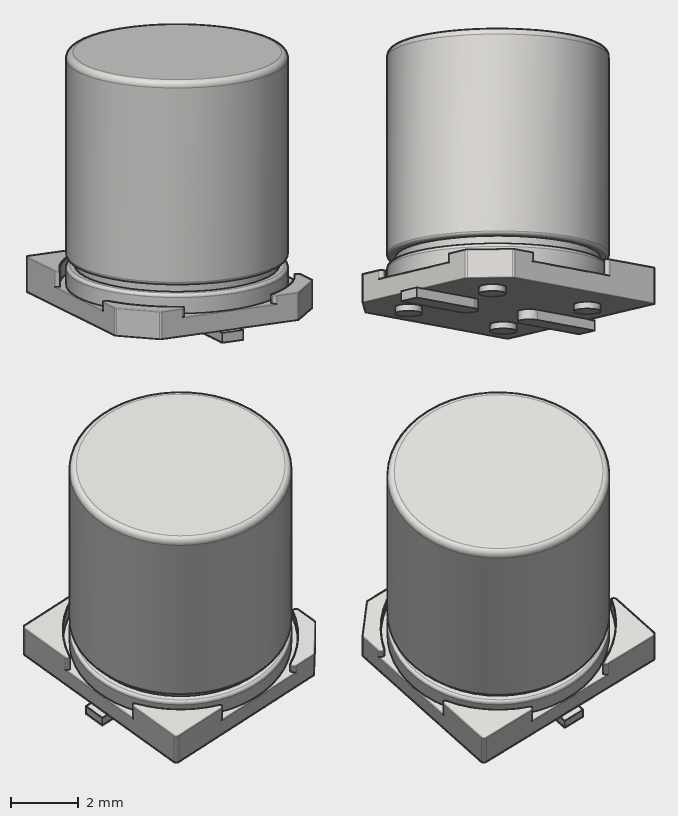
import cadquery as cq

overall_length = 7.0
terminal_width = 0.7
terminal_height = 0.3
terminal_gap = 1.78

base_side = 6.6
base_bottom = terminal_height
floor_top = 0.9
tall_wall_top = 1.39
low_wall_top = 1.17
corner_chamfer = 1.0
corner_radius = 0.1
chamfer_end_radius = 0.1
seat_radius = 3.46
tall_gap_half = 1.37
low_gap_half = 1.47
edge_radius = 0.02

foot_diameter = 0.8
foot_length = 0.2
foot_offset = 1.86

can_diameter = 6.55
groove_diameter = 6.05
overall_height = 8.0
groove_bottom = 1.5
groove_top = 1.76
groove_lip_radius = 0.1
can_top_radius = 0.2

half_base = base_side / 2


def base_prism(bottom, top):
    """Square base outline: rounded corners on the -X side, softened chamfers on the +X side."""
    prism = cq.Workplane("XY", origin=(0, 0, bottom)).rect(base_side, base_side).extrude(top - bottom)
    prism = prism.edges("|Z and >X").chamfer(corner_chamfer)
    chamfer_ends = cq.selectors.BoxSelector((0, -base_side, 0), (base_side, base_side, overall_height))
    prism = prism.edges("|Z").edges(chamfer_ends).fillet(chamfer_end_radius)
    return prism.edges("|Z and <X").fillet(corner_radius)


def corner_wall(x_side, y_side, gap_half, top):
    """Raised corner of the base, hollowed by the round seat that surrounds the can."""
    quarter_size = half_base - gap_half
    quarter_center = gap_half + quarter_size / 2
    height = top - base_bottom
    quarter = (
        cq.Workplane("XY", origin=(x_side * quarter_center, y_side * quarter_center, base_bottom))
        .rect(quarter_size, quarter_size)
        .extrude(height)
        .edges("|Z")
        .fillet(corner_radius)
    )
    seat = cq.Workplane("XY", origin=(0, 0, base_bottom)).circle(seat_radius).extrude(height)
    return quarter.cut(seat).intersect(base_prism(base_bottom, top))


def base():
    """Chamfered square base with four raised corners and softened horizontal edges."""
    body = base_prism(base_bottom, floor_top)
    corners = []
    for x_side, gap_half, wall_top in ((-1, tall_gap_half, tall_wall_top), (1, low_gap_half, low_wall_top)):
        for y_side in (-1, 1):
            wall = corner_wall(x_side, y_side, gap_half, wall_top)
            body = body.union(wall)
            corners.append((x_side * half_base, y_side * half_base, wall_top))
    body = body.faces("<Z").edges().fillet(edge_radius)
    for corner in corners:
        wall_face = cq.selectors.NearestToPointSelector(corner)
        body = body.faces("+Z").faces(wall_face).edges().fillet(edge_radius)
    floor_face = cq.selectors.NearestToPointSelector((0, 0, floor_top))
    return body.faces("+Z").faces(floor_face).edges("<X or >X or <Y or >Y").fillet(edge_radius)


def can():
    """Cylinder with a rounded top rim and a waist groove with rounded lips."""
    body = (
        cq.Workplane("XY", origin=(0, 0, base_bottom))
        .circle(can_diameter / 2)
        .extrude(groove_bottom - base_bottom)
        .faces(">Z")
        .edges()
        .fillet(groove_lip_radius)
    )
    waist = (
        cq.Workplane("XY", origin=(0, 0, base_bottom))
        .circle(groove_diameter / 2)
        .extrude(groove_top - base_bottom)
    )
    sleeve = (
        cq.Workplane("XY", origin=(0, 0, groove_top))
        .circle(can_diameter / 2)
        .extrude(overall_height - groove_top)
        .faces("<Z")
        .edges()
        .fillet(groove_lip_radius)
        .faces(">Z")
        .edges()
        .fillet(can_top_radius)
    )
    return body.union(waist).union(sleeve)


def terminal(x_side):
    """Flat lead under the base with a semicircular inner end."""
    tip_center = (terminal_gap + terminal_width) / 2
    bar_length = overall_length / 2 - tip_center
    bar = (
        cq.Workplane("XY", origin=(x_side * (tip_center + bar_length / 2), 0, 0))
        .rect(bar_length, terminal_width)
        .extrude(terminal_height)
    )
    tip = (
        cq.Workplane("XY", origin=(x_side * tip_center, 0, 0))
        .circle(terminal_width / 2)
        .extrude(terminal_height)
    )
    return bar.union(tip)


def feet():
    """Four round standoffs under the base."""
    return (
        cq.Workplane("XY", origin=(0, 0, base_bottom))
        .rect(2 * foot_offset, 2 * foot_offset, forConstruction=True)
        .vertices()
        .circle(foot_diameter / 2)
        .extrude(-foot_length)
    )


result = base().union(can()).union(feet())
for side in (-1, 1):
    result = result.union(terminal(side))